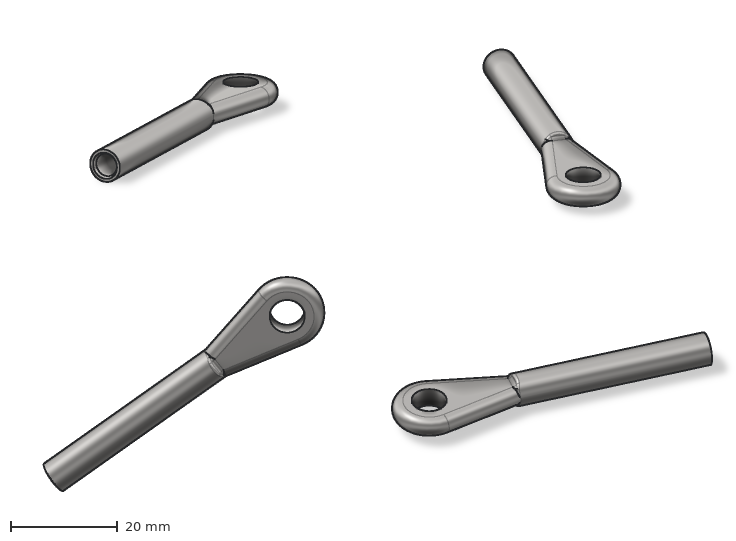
import cadquery as cq
import math


LENGTH = 62.0
EYE_DIAMETER = 14.0
EYE_HOLE_DIAMETER = 6.6
LUG_THICKNESS = 4.0
LUG_TAPER = 13.3

TUBE_DIAMETER = 6.3
TUBE_LENGTH = 38.1
ROOT_FILLET = 0.8
SHOULDER_FILLET = 0.55
CONE_RISE = 0.1

BORE_DIAMETER = 4.35
BORE_DEPTH = 31.0
DRILL_POINT_ANGLE = 118.0
MOUTH_DIAMETER = 5.1
MOUTH_DEPTH = 0.6

TOLERANCE = 0.005

EYE_RADIUS = EYE_DIAMETER / 2
EDGE_RADIUS = LUG_THICKNESS / 2
FLAT_RADIUS = EYE_RADIUS - EDGE_RADIUS
TUBE_RADIUS = TUBE_DIAMETER / 2
BORE_RADIUS = BORE_DIAMETER / 2
MOUTH_RADIUS = MOUTH_DIAMETER / 2

EYE_Y = LENGTH / 2 - EYE_RADIUS
MOUTH_Y = -LENGTH / 2
SHOULDER_Y = MOUTH_Y + TUBE_LENGTH
ROOT_TOP_Y = SHOULDER_Y + ROOT_FILLET
CONE_START_Y = SHOULDER_Y + CONE_RISE
LUG_END_Y = SHOULDER_Y - 2 * ROOT_FILLET


def turned_solid(points):
    """Solid turned about Y from an outline of (radius, y) points."""
    return cq.Workplane("XY").polyline(points).close().revolve(360, (0, 0, 0), (0, 1, 0))


def make_lug():
    """Teardrop plate whose whole rim is rounded to a half circle."""
    taper = math.radians(LUG_TAPER)
    tangent_x = FLAT_RADIUS * math.cos(taper)
    tangent_y = EYE_Y - FLAT_RADIUS * math.sin(taper)
    end_x = tangent_x - (tangent_y - LUG_END_Y) * math.tan(taper)

    eye = (
        cq.Workplane("XZ", origin=(0, EYE_Y, 0))
        .moveTo(0, -EDGE_RADIUS)
        .lineTo(FLAT_RADIUS, -EDGE_RADIUS)
        .threePointArc((EYE_RADIUS, 0), (FLAT_RADIUS, EDGE_RADIUS))
        .lineTo(0, EDGE_RADIUS)
        .close()
        .revolve(360, (0, 0, 0), (0, 1, 0))
    )
    web = (
        cq.Workplane("XY", origin=(0, 0, -EDGE_RADIUS))
        .moveTo(0, EYE_Y)
        .lineTo(tangent_x, tangent_y)
        .lineTo(end_x, LUG_END_Y)
        .lineTo(-end_x, LUG_END_Y)
        .lineTo(-tangent_x, tangent_y)
        .close()
        .extrude(LUG_THICKNESS)
    )
    lug = eye.union(web)
    side_length = (tangent_y - LUG_END_Y) / math.cos(taper)
    for side in (-1, 1):
        start = cq.Vector(side * tangent_x, tangent_y, 0)
        along = cq.Vector(-side * math.sin(taper), -math.cos(taper), 0)
        lug = lug.union(cq.Workplane(cq.Solid.makeCylinder(EDGE_RADIUS, side_length, start, along)))
    return lug.clean()


def make_tube_envelope():
    """Turned form of the tube, with a 45 degree cone that trims the root fillet towards the sides."""
    top_radius = TUBE_RADIUS - (ROOT_TOP_Y - CONE_START_Y)
    return turned_solid(
        [
            (0, MOUTH_Y),
            (TUBE_RADIUS, MOUTH_Y),
            (TUBE_RADIUS, CONE_START_Y),
            (top_radius, ROOT_TOP_Y),
            (0, ROOT_TOP_Y),
        ]
    )


def is_shoulder_edge(edge):
    """True for the edges that bound the side of the tube at its lug end."""
    return all(
        abs(math.hypot(point.x, point.z) - TUBE_RADIUS) < TOLERANCE and point.y > SHOULDER_Y - TOLERANCE
        for point in edge.positions([0.1, 0.5])
    )


def make_body():
    """Lug and solid tube, blended by a root fillet that runs out at the sides of the lug."""
    lug = make_lug()

    block_width = 3 * TUBE_DIAMETER
    block = (
        cq.Workplane("XY")
        .box(block_width, TUBE_LENGTH, block_width)
        .translate((0, SHOULDER_Y - TUBE_LENGTH / 2, 0))
    )
    root_edges = cq.selectors.BoxSelector(
        (-TUBE_DIAMETER, SHOULDER_Y - TOLERANCE, -TUBE_DIAMETER),
        (TUBE_DIAMETER, SHOULDER_Y + TOLERANCE, TUBE_DIAMETER),
    )
    blended = block.union(lug).edges(root_edges).fillet(ROOT_FILLET)
    tube = blended.intersect(make_tube_envelope())

    shoulder_edges = [edge for edge in tube.edges().vals() if is_shoulder_edge(edge)]
    rounded_tube = tube.newObject(shoulder_edges).fillet(SHOULDER_FILLET)
    return rounded_tube.union(lug)


def make_bore():
    """Blind drilled bore with a conical bottom and a countersunk mouth."""
    bottom_y = MOUTH_Y + BORE_DEPTH
    tip_y = bottom_y + BORE_RADIUS / math.tan(math.radians(DRILL_POINT_ANGLE / 2))
    return turned_solid(
        [
            (0, MOUTH_Y),
            (MOUTH_RADIUS, MOUTH_Y),
            (BORE_RADIUS, MOUTH_Y + MOUTH_DEPTH),
            (BORE_RADIUS, bottom_y),
            (0, tip_y),
        ]
    )


def make_eye_hole():
    return (
        cq.Workplane("XY", origin=(0, EYE_Y, -LUG_THICKNESS))
        .circle(EYE_HOLE_DIAMETER / 2)
        .extrude(2 * LUG_THICKNESS)
    )


result = make_body().cut(make_bore()).cut(make_eye_hole())